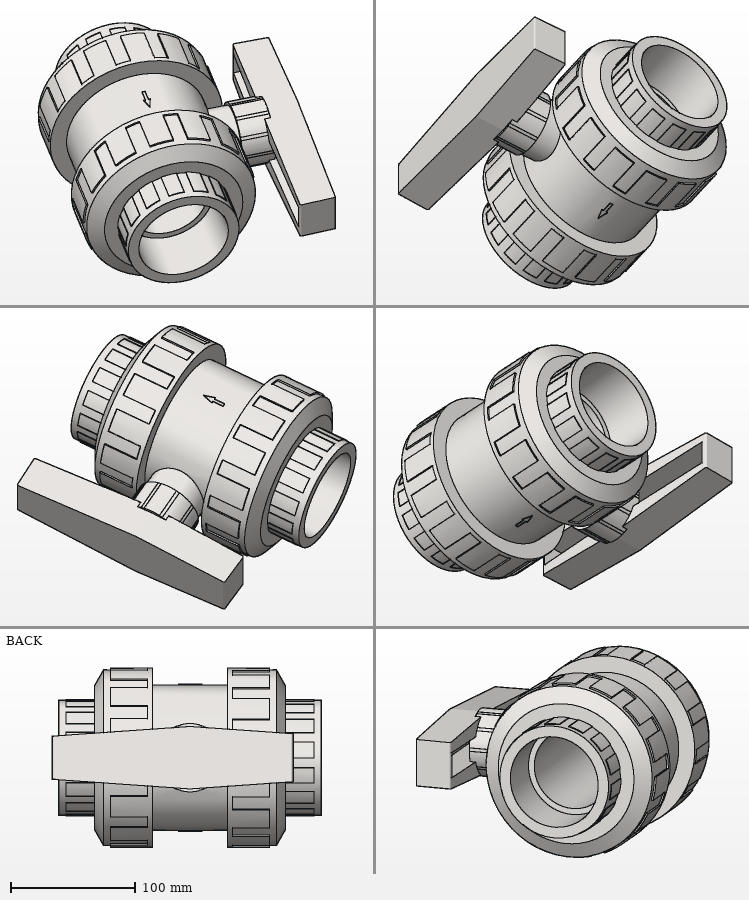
import cadquery as cq
import math


OVERALL_LENGTH = 216.5
HALF_LENGTH = 105.7
BORE_DIA = 65.0
SOCKET_DIA = 75.0
SOCKET_DEPTH = 44.2
CONNECTOR_DIA = 92.7
CONNECTOR_RIB_DIA = 93.7
CONNECTOR_RIB_END = 99.5
BODY_DIA = 117.1

NUT_INNER_X = 30.0
NUT_FLANGE_X = 34.2
NUT_RIB_END = 64.0
NUT_CONE_X = 69.5
NUT_OUTER_X = 76.9
NUT_DIA = 141.5
NUT_RIB_DIA = 144.5
NUT_FACE_DIA = 115.8

RIB_COUNT = 14
RIB_PITCH = 360 / RIB_COUNT
GAP_ANGLE = 9.8
FIRST_GAP_ANGLE = 5.1
CUT_CLEARANCE = 1.0

STEM_DIA = 50.0
HUB_DIA = 55.0
HUB_BOTTOM = NUT_RIB_DIA / 2
HUB_TOP = 99.8
GROOVE_COUNT = 10
GROOVE_WIDTH = 2.8
GROOVE_DEPTH = 0.2

HANDLE_LEFT = -83.4
HANDLE_TOP = 126.0
HANDLE_BOTTOM_MIDDLE = 94.6
HANDLE_BOTTOM_END = 96.1
HANDLE_END_LEAN = 0.9
HANDLE_HALF_WIDTH = 25.1
HANDLE_TAPER_ANGLE = 4
HANDLE_TAPER = math.tan(math.radians(HANDLE_TAPER_ANGLE))
HANDLE_TOP_RADIUS = 1.0
HANDLE_BOTTOM_RADIUS = 1.5
END_SLOPE = HANDLE_END_LEAN / (HANDLE_TOP - HANDLE_BOTTOM_END)
HANDLE_RIGHT = OVERALL_LENGTH - HALF_LENGTH + HANDLE_BOTTOM_RADIUS * END_SLOPE
POCKET_LEFT_WALL = 2.5
POCKET_RIGHT_WALL = 4.8
POCKET_LEFT = HANDLE_LEFT + POCKET_LEFT_WALL
POCKET_RIGHT = HANDLE_RIGHT - POCKET_RIGHT_WALL
POCKET_WIDTH = 20.8
POCKET_ROOF = 5.5

ARROW_TAIL = -9.5
ARROW_TIP = 9.3
ARROW_SHAFT_HALF_WIDTH = 1.3
ARROW_HEAD_HALF_WIDTH = 2.8
ARROW_HEIGHT = 0.6


def cylinder_x(diameter, start, end):
    """Cylinder on the pipe axis between two X positions."""
    return cq.Workplane("YZ").workplane(offset=start).circle(diameter / 2).extrude(end - start)


def cylinder_y(diameter, start, end):
    """Cylinder on the stem axis between two Y positions."""
    return cq.Workplane("XZ").workplane(offset=-start).circle(diameter / 2).extrude(start - end)


def grip_gaps(inner_dia, outer_dia, start, end):
    """Ring sectors between the grip ribs, to be cut away between two X positions."""
    gap = (
        cq.Workplane("XY")
        .polyline([
            (start, inner_dia / 2),
            (end, inner_dia / 2),
            (end, outer_dia / 2 + CUT_CLEARANCE),
            (start, outer_dia / 2 + CUT_CLEARANCE),
        ])
        .close()
        .revolve(GAP_ANGLE, (0, 0, 0), (1, 0, 0))
    )
    gaps = cq.Workplane("XY")
    for index in range(RIB_COUNT):
        angle = FIRST_GAP_ANGLE - GAP_ANGLE / 2 + index * RIB_PITCH
        gaps = gaps.add(gap.rotate((0, 0, 0), (1, 0, 0), angle))
    return gaps.combine()


def union_end():
    """Nut and ribbed connector on the +X side, without the bore."""
    blank = (
        cq.Workplane("XY")
        .polyline([
            (NUT_INNER_X, 0),
            (NUT_INNER_X, NUT_RIB_DIA / 2),
            (NUT_RIB_END, NUT_RIB_DIA / 2),
            (NUT_RIB_END, NUT_DIA / 2),
            (NUT_CONE_X, NUT_DIA / 2),
            (NUT_OUTER_X, NUT_FACE_DIA / 2),
            (NUT_OUTER_X, CONNECTOR_RIB_DIA / 2),
            (CONNECTOR_RIB_END, CONNECTOR_RIB_DIA / 2),
            (CONNECTOR_RIB_END, CONNECTOR_DIA / 2),
            (HALF_LENGTH, CONNECTOR_DIA / 2),
            (HALF_LENGTH, 0),
        ])
        .close()
        .revolve(360, (0, 0, 0), (1, 0, 0))
    )
    nut_gaps = grip_gaps(NUT_DIA, NUT_RIB_DIA, NUT_FLANGE_X, NUT_RIB_END)
    connector_gaps = grip_gaps(CONNECTOR_DIA, CONNECTOR_RIB_DIA, NUT_OUTER_X, CONNECTOR_RIB_END)
    return blank.cut(nut_gaps).cut(connector_gaps)


def hub():
    """Cylinder under the handle with straight grooves around it."""
    grooved = cylinder_y(HUB_DIA, HUB_BOTTOM, HUB_TOP)
    height = HUB_TOP - HUB_BOTTOM
    groove = cq.Workplane("XY").box(2 * GROOVE_DEPTH, height, GROOVE_WIDTH)
    groove = groove.translate((HUB_DIA / 2, HUB_BOTTOM + height / 2, 0))
    for index in range(GROOVE_COUNT):
        grooved = grooved.cut(groove.rotate((0, 0, 0), (0, 1, 0), index * 360 / GROOVE_COUNT))
    return grooved


def handle():
    """Tapered bar, open underneath, with leaning end faces."""
    side = (
        cq.Workplane("XY")
        .workplane(offset=-HANDLE_HALF_WIDTH)
        .polyline([
            (HANDLE_LEFT, HANDLE_BOTTOM_END),
            (0, HANDLE_BOTTOM_MIDDLE),
            (HANDLE_RIGHT, HANDLE_BOTTOM_END),
            (HANDLE_RIGHT - HANDLE_END_LEAN, HANDLE_TOP),
            (HANDLE_LEFT + HANDLE_END_LEAN, HANDLE_TOP),
        ])
        .close()
        .extrude(2 * HANDLE_HALF_WIDTH)
        .edges("|Z and >Y")
        .fillet(HANDLE_TOP_RADIUS)
        .edges("|Z and (<X or >X)")
        .fillet(HANDLE_BOTTOM_RADIUS)
    )
    left_half_width = HANDLE_HALF_WIDTH + HANDLE_TAPER * HANDLE_LEFT
    right_half_width = HANDLE_HALF_WIDTH - HANDLE_TAPER * HANDLE_RIGHT
    plan = (
        cq.Workplane("XZ")
        .polyline([
            (HANDLE_LEFT, -left_half_width),
            (0, -HANDLE_HALF_WIDTH),
            (HANDLE_RIGHT, -right_half_width),
            (HANDLE_RIGHT, right_half_width),
            (0, HANDLE_HALF_WIDTH),
            (HANDLE_LEFT, left_half_width),
        ])
        .close()
        .extrude(-HANDLE_TOP)
    )
    pocket_length = POCKET_RIGHT - POCKET_LEFT
    pocket = cq.Workplane("XY").box(
        pocket_length, HANDLE_TOP - POCKET_ROOF, POCKET_WIDTH, centered=(False, False, True)
    )
    return side.intersect(plan).cut(pocket.translate((POCKET_LEFT, 0, 0)))


def flow_arrows():
    """Raised arrows towards +X on the top and the bottom of the body."""
    outline = (
        cq.Workplane("XY")
        .polyline([
            (ARROW_TAIL, -ARROW_SHAFT_HALF_WIDTH),
            (0, -ARROW_SHAFT_HALF_WIDTH),
            (0, -ARROW_HEAD_HALF_WIDTH),
            (ARROW_TIP, 0),
            (0, ARROW_HEAD_HALF_WIDTH),
            (0, ARROW_SHAFT_HALF_WIDTH),
            (ARROW_TAIL, ARROW_SHAFT_HALF_WIDTH),
        ])
        .close()
        .extrude(BODY_DIA, both=True)
    )
    skin = cylinder_x(BODY_DIA + 2 * ARROW_HEIGHT, -NUT_INNER_X, NUT_INNER_X)
    return outline.intersect(skin)


def bore():
    """Through bore with a wider pipe socket at each end."""
    cutter = cylinder_x(BORE_DIA, -HALF_LENGTH, HALF_LENGTH)
    socket = cylinder_x(SOCKET_DIA, HALF_LENGTH - SOCKET_DEPTH, HALF_LENGTH)
    return cutter.union(socket).union(socket.mirror("YZ"))


right_end = union_end()
left_end = right_end.rotate((0, 0, 0), (0, 0, 1), 180)

result = (
    cylinder_x(BODY_DIA, -NUT_FLANGE_X, NUT_FLANGE_X)
    .union(flow_arrows())
    .union(right_end)
    .union(left_end)
    .union(cylinder_y(STEM_DIA, 0, HUB_BOTTOM))
    .union(handle())
    .union(hub())
    .cut(bore())
)